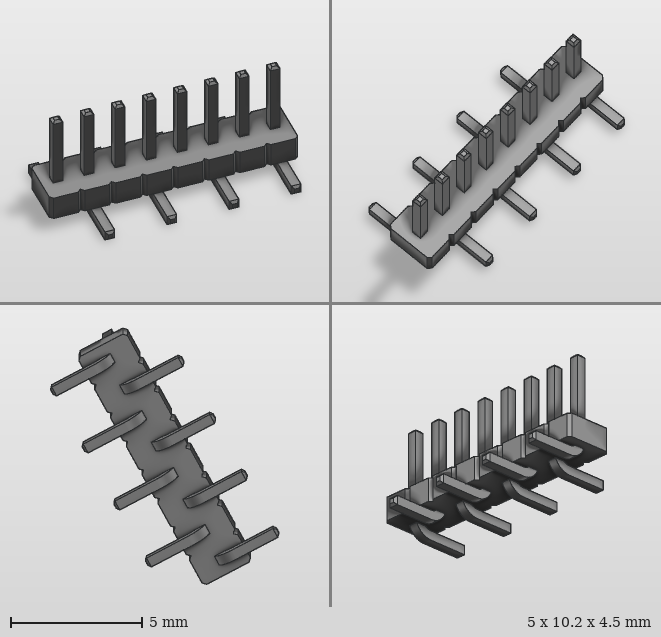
import cadquery as cq

pin_count = 8
strip_length = 10.16
pitch = strip_length / pin_count
housing_width = 2.1
housing_bottom = 0.5
housing_top = 1.5
corner_cut = 0.13

pin_side = 0.4
pin_top = 4.5
leg_span = 5.0
leg_reach = leg_span / 2
tip_chamfer = 0.1
outer_bend_radius = 0.8
inner_bend_radius = outer_bend_radius - pin_side


def housing_cell(y_center):
    """One block with chamfered vertical edges; neighbours form V notches."""
    return (
        cq.Workplane("XY", origin=(0, y_center, housing_bottom))
        .rect(housing_width, pitch)
        .extrude(housing_top - housing_bottom)
        .edges("|Z")
        .chamfer(corner_cut)
    )


def bent_pin():
    """Pin at Y = 0 whose leg points toward +X and rests on Z = 0."""
    half_side = pin_side / 2
    bend_x = outer_bend_radius - half_side
    bend_z = outer_bend_radius
    side_profile = (
        cq.Workplane("XZ")
        .moveTo(-half_side, pin_top)
        .lineTo(-half_side, bend_z)
        .radiusArc((bend_x, 0), -outer_bend_radius)
        .lineTo(leg_reach, 0)
        .lineTo(leg_reach, pin_side)
        .lineTo(bend_x, pin_side)
        .radiusArc((half_side, bend_z), inner_bend_radius)
        .lineTo(half_side, pin_top)
        .close()
    )
    pin = side_profile.extrude(half_side, both=True)
    return pin.faces(">Z or >X").chamfer(tip_chamfer)


pin_right = bent_pin()
pin_left = pin_right.rotate((0, 0, 0), (0, 0, 1), 180)

result = cq.Workplane("XY")
for index in range(pin_count):
    y_center = (index - (pin_count - 1) / 2) * pitch
    pin = pin_left if index % 2 == 0 else pin_right
    result = result.union(housing_cell(y_center))
    result = result.union(pin.translate((0, y_center, 0)))